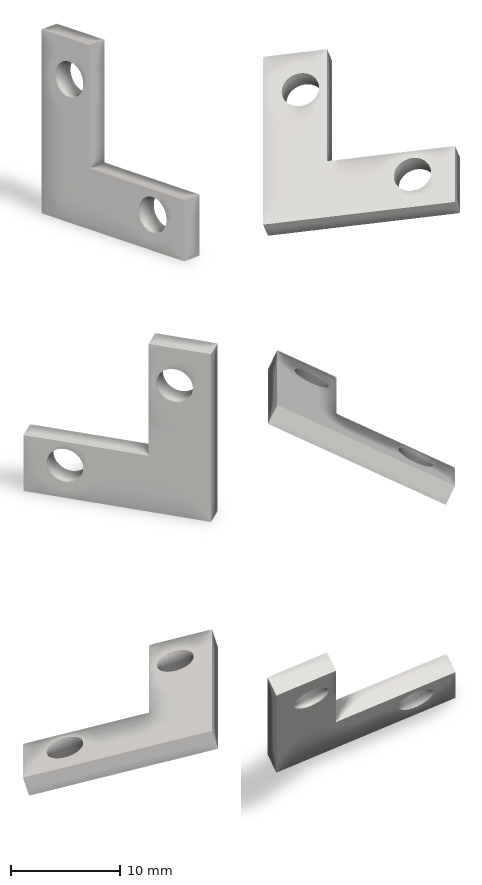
import cadquery as cq

leg_length = 18.0
leg_width = leg_length / 3
thickness = leg_length / 9
hole_diameter = 3.5
hole_edge_offset = 3.5
hole_along_leg = 14.0


def l_plate():
    """L-shaped plate standing in the XZ plane, outer corner at the origin."""
    outline = [
        (0, 0),
        (leg_length, 0),
        (leg_length, leg_width),
        (leg_width, leg_width),
        (leg_width, leg_length),
        (0, leg_length),
    ]
    return cq.Workplane("XZ").polyline(outline).close().extrude(-thickness)


def hole_cutters():
    """One through hole near the end of each leg."""
    centres = [
        (hole_along_leg, hole_edge_offset),
        (hole_edge_offset, hole_along_leg),
    ]
    return cq.Workplane("XZ").pushPoints(centres).circle(hole_diameter / 2).extrude(-thickness)


result = l_plate().cut(hole_cutters())